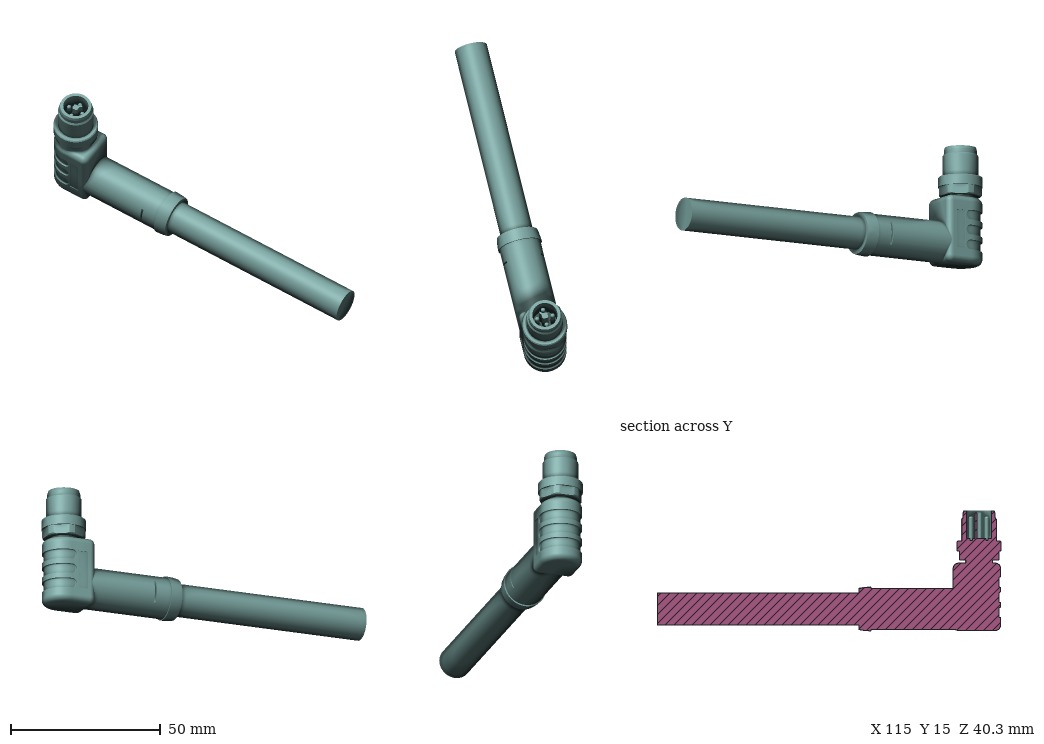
import cadquery as cq
import math


CABLE_END_X = 107.5
CABLE_DIA = 11.0
SLEEVE_DIA = 14.0
SLEEVE_START_X = 6.0
COLLAR_START_X = 36.0
COLLAR_END_X = 40.1
COLLAR_DIA = 15.0
COLLAR_BULGE = 0.1

SLOT_X = 30.5
SLOT_WIDTH = 0.7
SLOT_DEPTH = 1.1

HOUSING_HALF_WIDTH = 7.1
HOUSING_BACK_X = -7.4
HOUSING_ARC_END_X = 0.2
HOUSING_FRONT_X = 8.7
HOUSING_BOTTOM_Z = -7.2
HOUSING_TOP_Z = 15.4
HOUSING_FILLET = 2.0

GROOVE_COUNT = 3
GROOVE_TOP_Z = 9.0
GROOVE_PITCH = 5.1
GROOVE_WIDTH = 3.3
GROOVE_DEPTH = 0.6
GROOVE_FLOOR_FILLET = 0.3
GROOVE_END_X = 0.1
TOUCH_TOLERANCE = 0.001

LABEL_CENTRE_X = 3.9
LABEL_CENTRE_Z = 3.9
LABEL_WIDTH = 3.2
LABEL_HEIGHT = 12.9
LABEL_DEPTH = 0.2

NECK_DIA = 9.3
HEX_SIDES = 6
HEX_BOTTOM_Z = 16.2
HEX_ACROSS_FLATS = 13.3
HEX_CORNER_DIA = 14.4
HEX_CHAMFER = 0.3
RING_BOTTOM_Z = 19.3
RING_TOP_Z = 22.8
RING_DIA = 15.0
RING_CHAMFER = 0.3
BARREL_DIA = 12.0
BARREL_STRAIGHT_TOP_Z = 29.9
LIP_BOTTOM_Z = 30.5
LIP_DIA = 11.0
LIP_STRAIGHT_TOP_Z = 31.9
PLUG_TOP_Z = 32.8
PLUG_TOP_DIA = 10.5

BORE_DIA = 8.4
BORE_FLOOR_Z = 23.6
PIN_COUNT = 4
PIN_CIRCLE_RADIUS = 2.6
PIN_DIA = 1.5
PIN_TIP_Z = 30.8
PIN_TIP_FILLET = 0.6
PIN_SEAT_DIA = 2.2
PIN_SEAT_DEPTH = 0.6
POST_DIA = 2.3
POST_TOP_Z = 32.1
POST_PIN_CLEARANCE_DIA = 3.3
KEY_WIDTH = 0.6
KEY_REACH = 2.2
KEY_ANGLE = 45


def disc(diameter, bottom_z, top_z):
    return cq.Workplane("XY").workplane(offset=bottom_z).circle(diameter / 2).extrude(top_z - bottom_z)


def rod(diameter, start_x, end_x):
    return cq.Workplane("YZ").workplane(offset=start_x).circle(diameter / 2).extrude(end_x - start_x)


def housing_block(inset=0):
    half_width = HOUSING_HALF_WIDTH - inset
    return (
        cq.Workplane("XY")
        .workplane(offset=HOUSING_BOTTOM_Z)
        .moveTo(HOUSING_ARC_END_X, half_width)
        .threePointArc((HOUSING_BACK_X + inset, 0), (HOUSING_ARC_END_X, -half_width))
        .lineTo(HOUSING_FRONT_X, -half_width)
        .lineTo(HOUSING_FRONT_X, half_width)
        .close()
        .extrude(HOUSING_TOP_Z - HOUSING_BOTTOM_Z)
    )


def grip_groove(centre_z):
    straight_length = GROOVE_END_X + 2 * HOUSING_HALF_WIDTH
    slot = (
        cq.Workplane("XZ")
        .center(GROOVE_END_X - straight_length / 2, centre_z)
        .slot2D(straight_length + GROOVE_WIDTH, GROOVE_WIDTH)
        .extrude(2 * HOUSING_HALF_WIDTH, both=True)
    )
    core = housing_block(inset=GROOVE_DEPTH)
    core_solid = core.val()
    groove = slot.cut(core)
    floor_corners = groove.edges("not |Z").filter(
        lambda edge: core_solid.isInside(edge.positionAt(0.5), TOUCH_TOLERANCE)
    )
    return floor_corners.fillet(GROOVE_FLOOR_FILLET)


def housing():
    body = housing_block().edges("|Z and >X").fillet(HOUSING_FILLET)
    body = body.faces("<Z or >Z").edges().fillet(HOUSING_FILLET)
    for index in range(GROOVE_COUNT):
        body = body.cut(grip_groove(GROOVE_TOP_Z - index * GROOVE_PITCH))
    label = cq.Workplane("XY").box(LABEL_WIDTH, 2 * LABEL_DEPTH, LABEL_HEIGHT)
    for side in (-1, 1):
        body = body.cut(label.translate((LABEL_CENTRE_X, side * HOUSING_HALF_WIDTH, LABEL_CENTRE_Z)))
    return body


def cable():
    radius = COLLAR_DIA / 2
    end_radius = SLEEVE_DIA / 2
    middle = ((COLLAR_START_X + COLLAR_END_X) / 2, (radius + end_radius) / 2 + COLLAR_BULGE)
    collar = (
        cq.Workplane("XY")
        .moveTo(COLLAR_START_X, 0)
        .lineTo(COLLAR_START_X, radius)
        .threePointArc(middle, (COLLAR_END_X, end_radius))
        .lineTo(COLLAR_END_X, 0)
        .close()
        .revolve(360, (0, 0, 0), (1, 0, 0))
    )
    sleeve = rod(SLEEVE_DIA, SLEEVE_START_X, COLLAR_START_X)
    slot = cq.Workplane("XY").box(SLOT_WIDTH, 2 * SLOT_DEPTH, SLEEVE_DIA)
    for side in (-1, 1):
        sleeve = sleeve.cut(slot.translate((SLOT_X, side * SLEEVE_DIA / 2, 0)))
    return sleeve.union(collar).union(rod(CABLE_DIA, COLLAR_START_X, CABLE_END_X))


def coupling_nut():
    neck = disc(NECK_DIA, HOUSING_TOP_Z, HEX_BOTTOM_Z)
    hexagon = (
        cq.Workplane("XY")
        .workplane(offset=HEX_BOTTOM_Z)
        .polygon(HEX_SIDES, HEX_ACROSS_FLATS, circumscribed=True)
        .extrude(RING_BOTTOM_Z - HEX_BOTTOM_Z)
    )
    corner_limit = disc(HEX_CORNER_DIA, HEX_BOTTOM_Z, RING_BOTTOM_Z).faces("<Z").chamfer(HEX_CHAMFER)
    ring = disc(RING_DIA, RING_BOTTOM_Z, RING_TOP_Z).faces(">Z").chamfer(RING_CHAMFER)
    barrel_chamfer_width = (BARREL_DIA - LIP_DIA) / 2
    barrel = disc(BARREL_DIA, RING_TOP_Z, LIP_BOTTOM_Z)
    barrel = barrel.faces(">Z").chamfer(LIP_BOTTOM_Z - BARREL_STRAIGHT_TOP_Z, barrel_chamfer_width)
    lip_chamfer_width = (LIP_DIA - PLUG_TOP_DIA) / 2
    lip = disc(LIP_DIA, LIP_BOTTOM_Z, PLUG_TOP_Z)
    lip = lip.faces(">Z").chamfer(PLUG_TOP_Z - LIP_STRAIGHT_TOP_Z, lip_chamfer_width)
    nut = neck
    for section in (hexagon.intersect(corner_limit), ring, barrel, lip):
        nut = nut.union(section)
    return nut.cut(disc(BORE_DIA, BORE_FLOOR_Z, PLUG_TOP_Z))


def pin_places():
    angles = [2 * math.pi * index / PIN_COUNT for index in range(PIN_COUNT)]
    return [(PIN_CIRCLE_RADIUS * math.cos(a), PIN_CIRCLE_RADIUS * math.sin(a), 0) for a in angles]


def keyed_post():
    post = disc(POST_DIA, BORE_FLOOR_Z, POST_TOP_Z)
    clearance = disc(POST_PIN_CLEARANCE_DIA, BORE_FLOOR_Z, POST_TOP_Z)
    for place in pin_places():
        post = post.cut(clearance.translate(place))
    key = (
        cq.Workplane("XY")
        .workplane(offset=BORE_FLOOR_Z)
        .center(KEY_REACH / 2, 0)
        .rect(KEY_REACH, KEY_WIDTH)
        .extrude(POST_TOP_Z - BORE_FLOOR_Z)
        .rotate((0, 0, 0), (0, 0, 1), KEY_ANGLE)
    )
    return post.union(key)


def plug():
    seat_floor_z = BORE_FLOOR_Z - PIN_SEAT_DEPTH
    pin = disc(PIN_DIA, seat_floor_z, PIN_TIP_Z).faces(">Z").edges().fillet(PIN_TIP_FILLET)
    seat = disc(PIN_SEAT_DIA, seat_floor_z, BORE_FLOOR_Z)
    body = coupling_nut()
    for place in pin_places():
        body = body.cut(seat.translate(place)).union(pin.translate(place))
    return body.union(keyed_post())


result = housing().union(cable()).union(plug())